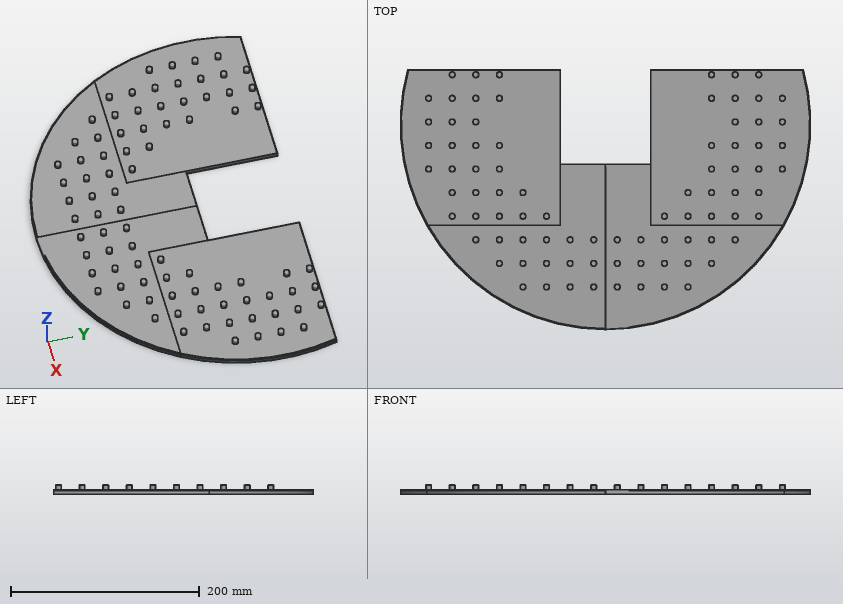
import cadquery as cq

disc_radius = 217.3
plate_depth = 275.0
back_y = plate_depth - disc_radius
total_height = 10.0
plate_thickness = total_height / 2
edge_fillet = 1.0

opening_half_width = 48.0
opening_floor_y = -42.0
wing_front_y = -107.0

pin_diameter = 6.0
pin_height = total_height - plate_thickness
column_count = 16
outer_column_spacing = 374.5
pin_pitch = outer_column_spacing / (column_count - 1)
back_row_inset = 5.0
back_row_y = back_y - back_row_inset

wing_rows = [(4, 6), (4, 7), (5, 7), (4, 7), (4, 7), (3, 6), (2, 6)]
front_rows = [(0, 5), (0, 4), (0, 3)]


def block(x_min, x_max, y_min, y_max):
    """Plate-thick rectangular block between the given limits."""
    size_x = x_max - x_min
    size_y = y_max - y_min
    corner = (x_min, y_min, 0)
    return cq.Workplane("XY").box(size_x, size_y, plate_thickness, centered=False).translate(corner)


def rounded_disc():
    """Disc with its straight back edge, rounded along the upper outer edge."""
    disc = cq.Workplane("XY").circle(disc_radius).extrude(plate_thickness)
    kept = block(-disc_radius, disc_radius, -disc_radius, back_y)
    return disc.intersect(kept).faces(">Z").edges().fillet(edge_fillet)


def pins(rows, first_row):
    """Round-topped pins on the +X side for consecutive rows of the grid."""
    centres = [
        ((column + 0.5) * pin_pitch, back_row_y - row * pin_pitch)
        for row, (inner, outer) in enumerate(rows, start=first_row)
        for column in range(inner, outer + 1)
    ]
    return (
        cq.Workplane("XY", origin=(0, 0, plate_thickness))
        .pushPoints(centres)
        .circle(pin_diameter / 2)
        .extrude(pin_height)
        .faces(">Z")
        .edges()
        .fillet(edge_fillet)
    )


def wing_plate():
    """Plate beside the opening on the +X side, with its pins."""
    outline = block(opening_half_width, disc_radius, wing_front_y, back_y)
    return rounded_disc().intersect(outline).union(pins(wing_rows, 0))


def front_plate():
    """Plate in front of the wing on the +X side, with a tongue up to the opening."""
    base = block(0, disc_radius, -disc_radius, wing_front_y)
    tongue = block(0, opening_half_width, wing_front_y, opening_floor_y)
    outline = base.union(tongue)
    return rounded_disc().intersect(outline).union(pins(front_rows, len(wing_rows)))


right_plates = [wing_plate(), front_plate()]
left_plates = [plate.mirror("YZ") for plate in right_plates]

result = cq.Compound.makeCompound([plate.val() for plate in right_plates + left_plates])